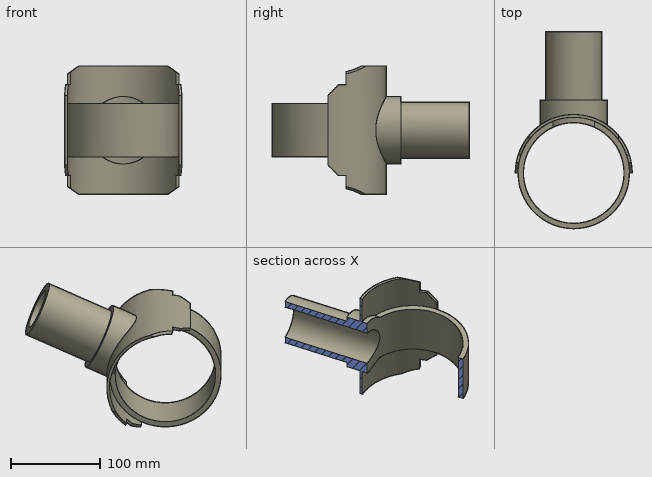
import cadquery as cq

ring_outer_diameter = 125.0
ring_inner_diameter = 112.5
ring_height = 60.0

shell_outer_diameter = 131.25
shell_inner_diameter = ring_outer_diameter
shell_height = 144.0
shell_corner_x = 50.0
shell_corner_slope = 0.714
shell_step_y = 20.0
ear_height = 102.0
ear_chamfer = 12.0

collar_diameter = 75.6
collar_end_y = 81.7
pipe_diameter = 63.0
pipe_end_y = 158.5
bore_diameter = 45.0


def z_cylinder(diameter, height):
    """Cylinder on the Z axis, centred on the origin."""
    return cq.Workplane("XY").cylinder(height, diameter / 2)


def y_cylinder(diameter, end_y):
    """Cylinder on the Y axis from the ring centre to end_y."""
    return cq.Workplane("XZ").circle(diameter / 2).extrude(-end_y)


def side_profile_prism():
    """Shell outline in the YZ plane, with stepped and chamfered ears, extruded across X."""
    half_height = shell_height / 2
    half_ear = ear_height / 2
    back_y = shell_outer_diameter / 2
    upper = [
        (0, half_ear - ear_chamfer),
        (ear_chamfer, half_ear),
        (shell_step_y, half_ear),
        (shell_step_y, half_height),
        (back_y, half_height),
    ]
    lower = [(y, -z) for y, z in reversed(upper)]
    outline = cq.Workplane("YZ").polyline(upper + lower).close()
    return outline.extrude(shell_outer_diameter / 2, both=True)


def corner_bevel(side_x, side_z):
    """Triangular cutter along Y for one corner of the shell."""
    half_height = shell_height / 2
    half_width = shell_outer_diameter / 2
    drop = (half_width - shell_corner_x) * shell_corner_slope
    triangle = [
        (side_x * shell_corner_x, side_z * half_height),
        (side_x * half_width, side_z * half_height),
        (side_x * half_width, side_z * (half_height - drop)),
    ]
    return cq.Workplane("XZ").polyline(triangle).close().extrude(-half_width)


def saddle_shell():
    """Half tube with stepped sides and bevelled corners."""
    shell = z_cylinder(shell_outer_diameter, shell_height).intersect(side_profile_prism())
    for side_x in (-1, 1):
        for side_z in (-1, 1):
            shell = shell.cut(corner_bevel(side_x, side_z))
    return shell.cut(z_cylinder(shell_inner_diameter, shell_height))


def branch():
    """Collar and pipe, still solid and reaching to the ring centre."""
    return y_cylinder(collar_diameter, collar_end_y).union(y_cylinder(pipe_diameter, pipe_end_y))


body = saddle_shell().union(z_cylinder(ring_outer_diameter, ring_height)).union(branch())
body = body.cut(z_cylinder(ring_inner_diameter, shell_height))
result = body.cut(y_cylinder(bore_diameter, pipe_end_y))